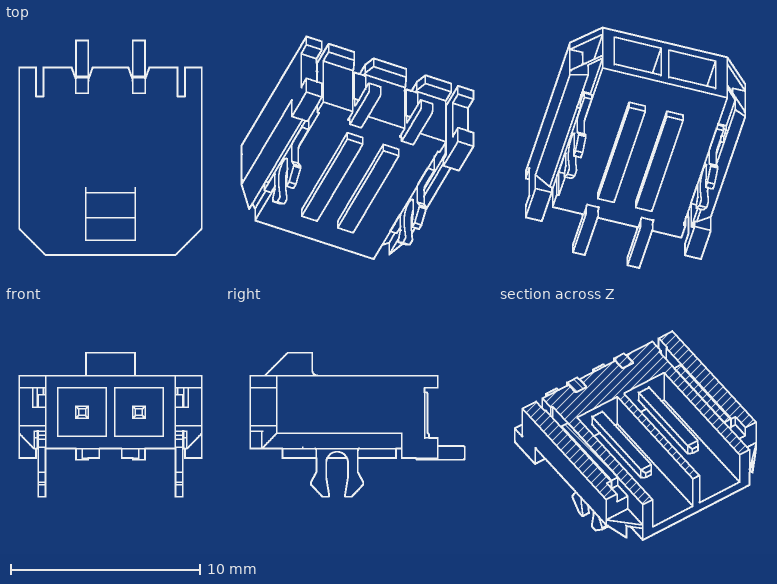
import cadquery as cq
import math


WIDTH = 9.65
HEIGHT = 3.87
DEPTH = 9.92
HALF_WIDTH = WIDTH / 2
CORNER_CUT = 1.4
CORE_HALF = HALF_WIDTH - CORNER_CUT
WALL = 0.66
ROOF_UNDERSIDE = HEIGHT - WALL
REAR_WALL_Y = 9.22
EDGE_CUT_WIDTH = 0.78
EDGE_CUT_HEIGHT = 0.81

FOOT_FRONT_Y = 8.01
FOOT_TOP = 0.58
STANDOFF = 0.5
FOOT_INNER_X = 3.93
RIB_INNER_X = 0.59
RIB_WIDTH = 0.9
RIB_FRONT_Y = 1.7
RIB_REAR_Y = 7.72

LATCH_WIDTH = 2.61
LATCH_HEIGHT = 1.2
LATCH_FRONT_Y = 0.78
LATCH_REAR_Y = 3.29
LATCH_FILLET = 0.27

PITCH = 3.0
CONTACT_XS = (-PITCH / 2, PITCH / 2)
CAVITY_SIZE = 2.57
CAVITY_DEPTH = 7.04
CONTACT_Z = HEIGHT / 2

PIN_WIDTH = 0.66
PIN_HEIGHT = 0.64
PIN_TIP_Y = 2.27
PIN_TIP_INSET = 0.15
PIN_TIP_LENGTH = 0.23
PLATE_FRONT_Y = 8.56
PLATE_REAR_Y = 9.39
PLATE_TOP = 3.0
PLATE_ROUND = 0.12
LEG_FRONT_Y = 8.76
LEG_REAR_Y = 9.45
LEG_TOP = 0.83
TAIL_END_Y = 11.35
TAIL_BOTTOM = -0.59
TAIL_TOP = 0.15
TAIL_ROUND = 0.1
NOTCH_FRONT_Y = 9.31
NOTCH_WIDTH = 1.1

CLIP_THICKNESS = 0.4
CLIP_FRONT_Y = 2.33
CLIP_REAR_Y = 7.04
CLIP_TOP = 2.86
CLIP_TOP_ROUND = 0.1
HOOK_DEPTH = 0.22
HOOK_FRONT_Y = CLIP_FRONT_Y - HOOK_DEPTH
HOOK_TOP = 0.72
HOOK_SHOULDER = 0.5
CLIP_BOTTOM = 0.08
LEG_CENTER_Y = 4.6
LEG_HALF = 1.1
LEG_FILLET = 0.19
BARB_HALF = 1.38
BARB_START = -1.24
BARB_UPPER = -1.76
BARB_LOWER = -1.9
CLIP_END = -2.54
END_HALF = 0.77
GAP_HALF = 0.57
GAP_END_HALF = 0.4
GAP_TAPER_START = -1.52
GAP_TOP = -0.16
GAP_BEND_RADIUS = 1.3 / 2
LEG_TIP_ROUND = 0.07

SLOT_OUTER_X = 3.86
SLOT_END_Y = 8.4
ENTRY_INNER_X = 3.54
POCKET_FLOOR = 1.2
WINDOW_OUTER_X = 4.12
WINDOW_FLOOR = 2.2
CHANNEL_TOP = 0.93
CHANNEL_STEP = 0.59
CHANNEL_STEP_DEPTH = 0.45


def box(x_range, y_range, z_range):
    size = [end - start for start, end in (x_range, y_range, z_range)]
    corner = (x_range[0], y_range[0], z_range[0])
    return cq.Workplane("XY").box(*size, centered=False).translate(corner)


def both_sides(shape):
    return shape.union(shape.mirror("YZ"))


def side_profile(points, width, center_x):
    """Closed (y, z) outline made into a slab of the given width."""
    return cq.Workplane("YZ", origin=(center_x - width / 2, 0, 0)).polyline(points).close().extrude(width)


def shell():
    outline = [
        (-CORE_HALF, 0),
        (CORE_HALF, 0),
        (HALF_WIDTH, CORNER_CUT),
        (HALF_WIDTH, DEPTH),
        (-HALF_WIDTH, DEPTH),
        (-HALF_WIDTH, CORNER_CUT),
    ]
    body = cq.Workplane("XY").polyline(outline).close().extrude(HEIGHT)
    below_roof = box(
        (-HALF_WIDTH, HALF_WIDTH), (REAR_WALL_Y, DEPTH), (0, ROOF_UNDERSIDE)
    )
    edge_cut = (
        cq.Workplane("XZ")
        .polyline([
            (HALF_WIDTH, 0),
            (HALF_WIDTH - EDGE_CUT_WIDTH, 0),
            (HALF_WIDTH, EDGE_CUT_HEIGHT),
        ])
        .close()
        .extrude(-FOOT_FRONT_Y)
    )
    return body.cut(below_roof).cut(both_sides(edge_cut))


def feet_and_ribs():
    foot = box((FOOT_INNER_X, HALF_WIDTH), (FOOT_FRONT_Y, DEPTH), (-STANDOFF, FOOT_TOP))
    rib = box(
        (RIB_INNER_X, RIB_INNER_X + RIB_WIDTH), (RIB_FRONT_Y, RIB_REAR_Y), (-STANDOFF, 0)
    )
    return both_sides(foot.union(rib))


def latch():
    top = HEIGHT + LATCH_HEIGHT
    outline = (
        cq.Workplane("YZ", origin=(-LATCH_WIDTH / 2, 0, 0))
        .moveTo(LATCH_FRONT_Y, HEIGHT)
        .lineTo(LATCH_FRONT_Y + LATCH_HEIGHT, top)
        .lineTo(LATCH_REAR_Y, top)
        .lineTo(LATCH_REAR_Y, HEIGHT + LATCH_FILLET)
        .radiusArc((LATCH_REAR_Y + LATCH_FILLET, HEIGHT), -LATCH_FILLET)
        .close()
    )
    return outline.extrude(LATCH_WIDTH)


def contact_openings(center_x):
    """Mating cavity, pin hole, rear slot and roof notch of one contact."""
    face = cq.Workplane("XZ", origin=(center_x, 0, CONTACT_Z))
    cavity = face.rect(CAVITY_SIZE, CAVITY_SIZE).extrude(-CAVITY_DEPTH)
    pin_hole = face.rect(PIN_WIDTH, PIN_HEIGHT).extrude(-PLATE_FRONT_Y)
    rear_slot = box(
        (center_x - PIN_WIDTH / 2, center_x + PIN_WIDTH / 2), (PLATE_FRONT_Y, DEPTH), (0, HEIGHT)
    )
    notch = (
        cq.Workplane("XY", origin=(center_x, 0, ROOF_UNDERSIDE))
        .polyline([
            (-PIN_WIDTH / 2, NOTCH_FRONT_Y),
            (PIN_WIDTH / 2, NOTCH_FRONT_Y),
            (NOTCH_WIDTH / 2, DEPTH),
            (-NOTCH_WIDTH / 2, DEPTH),
        ])
        .close()
        .extrude(WALL)
    )
    return cavity.union(pin_hole).union(rear_slot).union(notch)


def clip_openings():
    """Corner pocket, window, channel and slots for the clip on each side."""
    channel_x = (CORE_HALF, HALF_WIDTH - EDGE_CUT_WIDTH)
    pocket = box((CORE_HALF, HALF_WIDTH), (0, CORNER_CUT), (POCKET_FLOOR, ROOF_UNDERSIDE))
    window = box((CORE_HALF, WINDOW_OUTER_X), (0, CLIP_FRONT_Y), (WINDOW_FLOOR, ROOF_UNDERSIDE))
    channel = box(channel_x, (0, CLIP_FRONT_Y), (0, CHANNEL_TOP))
    channel_step = box(channel_x, (0, CLIP_FRONT_Y + CHANNEL_STEP_DEPTH), (0, CHANNEL_STEP))
    slot = box((CORE_HALF, SLOT_OUTER_X), (CLIP_FRONT_Y, SLOT_END_Y), (0, ROOF_UNDERSIDE))
    entry = box((ENTRY_INNER_X, FOOT_INNER_X), (SLOT_END_Y, DEPTH), (0, HEIGHT))
    opening = pocket.union(window).union(channel).union(channel_step).union(slot).union(entry)
    return both_sides(opening)


def make_housing():
    body = shell().union(feet_and_ribs()).union(latch())
    for center_x in CONTACT_XS:
        body = body.cut(contact_openings(center_x))
    return body.cut(clip_openings())


def make_pin(center_x):
    bar_bottom = CONTACT_Z - PIN_HEIGHT / 2
    bar_top = CONTACT_Z + PIN_HEIGHT / 2
    bar_front_y = PIN_TIP_Y + PIN_TIP_LENGTH
    step = LEG_REAR_Y - PLATE_REAR_Y
    body = side_profile(
        [
            (bar_front_y, bar_bottom),
            (LEG_FRONT_Y, bar_bottom),
            (LEG_FRONT_Y, TAIL_BOTTOM),
            (TAIL_END_Y, TAIL_BOTTOM),
            (TAIL_END_Y, TAIL_TOP),
            (LEG_REAR_Y, TAIL_TOP),
            (LEG_REAR_Y, LEG_TOP - step),
            (PLATE_REAR_Y, LEG_TOP),
            (PLATE_REAR_Y, PLATE_TOP),
            (PLATE_FRONT_Y, PLATE_TOP),
            (PLATE_FRONT_Y, bar_top),
            (bar_front_y, bar_top),
        ],
        PIN_WIDTH,
        center_x,
    )
    body = body.faces(">Z").edges("|X").fillet(PLATE_ROUND)
    body = body.faces(">Y").edges("|X").fillet(TAIL_ROUND)
    for bend in ((LEG_FRONT_Y, TAIL_BOTTOM), (LEG_REAR_Y, TAIL_TOP)):
        body = body.edges(cq.NearestToPointSelector((center_x, *bend))).fillet(TAIL_ROUND)
    taper_angle = math.degrees(math.atan2(PIN_TIP_INSET, PIN_TIP_LENGTH))
    tip = (
        cq.Workplane("XZ", origin=(center_x, bar_front_y, CONTACT_Z))
        .rect(PIN_WIDTH, PIN_HEIGHT)
        .extrude(PIN_TIP_LENGTH, taper=taper_angle)
    )
    return body.union(tip)


def clip_leg_gap(center_x):
    arc_end = GAP_TOP - GAP_HALF
    return (
        cq.Workplane("YZ", origin=(center_x - CLIP_THICKNESS / 2, LEG_CENTER_Y, 0))
        .moveTo(-GAP_END_HALF, CLIP_END)
        .lineTo(-GAP_HALF, GAP_TAPER_START)
        .lineTo(-GAP_HALF, arc_end)
        .threePointArc((0, GAP_TOP), (GAP_HALF, arc_end))
        .lineTo(GAP_HALF, GAP_TAPER_START)
        .lineTo(GAP_END_HALF, CLIP_END)
        .close()
        .extrude(CLIP_THICKNESS)
    )


def make_clip(side):
    center_x = side * (CORE_HALF + CLIP_THICKNESS / 2)
    plate = side_profile(
        [
            (CLIP_FRONT_Y, CLIP_TOP),
            (CLIP_FRONT_Y, HOOK_TOP),
            (HOOK_FRONT_Y, HOOK_SHOULDER),
            (HOOK_FRONT_Y, CLIP_BOTTOM),
            (CLIP_REAR_Y, CLIP_BOTTOM),
            (CLIP_REAR_Y, CLIP_TOP),
        ],
        CLIP_THICKNESS,
        center_x,
    )
    plate = plate.faces(">Z").edges("|X").fillet(CLIP_TOP_ROUND)
    half_outline = [
        (LEG_HALF, CLIP_BOTTOM),
        (LEG_HALF, BARB_START),
        (BARB_HALF, BARB_UPPER),
        (BARB_HALF, BARB_LOWER),
        (END_HALF, CLIP_END),
    ]
    front_half = [(LEG_CENTER_Y - offset, z) for offset, z in half_outline]
    rear_half = [(LEG_CENTER_Y + offset, z) for offset, z in half_outline]
    legs = side_profile(front_half + rear_half[::-1], CLIP_THICKNESS, center_x)
    clip = plate.union(legs)
    for leg_y in (LEG_CENTER_Y - LEG_HALF, LEG_CENTER_Y + LEG_HALF):
        root = cq.NearestToPointSelector((center_x, leg_y, CLIP_BOTTOM))
        clip = clip.edges(root).fillet(LEG_FILLET)
    clip = clip.cut(clip_leg_gap(center_x))
    for direction in (-1, 1):
        bend = (center_x, LEG_CENTER_Y + direction * GAP_HALF, GAP_TAPER_START)
        tip = (center_x, LEG_CENTER_Y + direction * GAP_END_HALF, CLIP_END)
        clip = clip.edges(cq.NearestToPointSelector(bend)).fillet(GAP_BEND_RADIUS)
        clip = clip.edges(cq.NearestToPointSelector(tip)).fillet(LEG_TIP_ROUND)
    return clip


housing = make_housing()
pins = [make_pin(center_x) for center_x in CONTACT_XS]
clips = [make_clip(side) for side in (-1, 1)]

result = cq.Compound.makeCompound([body.solids().val() for body in (housing, *pins, *clips)])